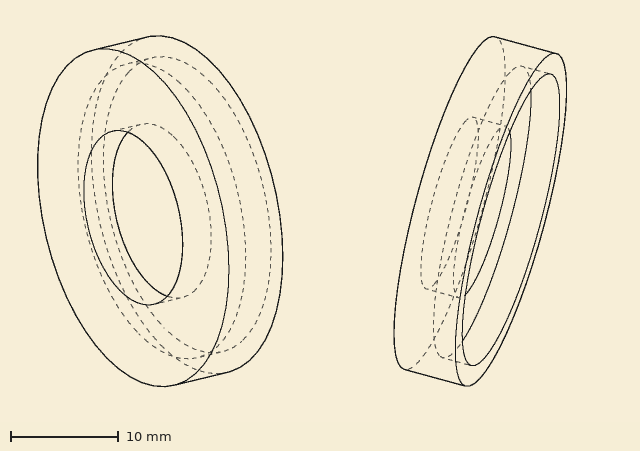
import cadquery as cq

outer_diameter = 32.0
thickness = 6.0
bore_diameter = 16.5

rim_thickness = 2.0
recess_diameter = outer_diameter - 2 * rim_thickness
web_thickness = 3.2
recess_depth = thickness - web_thickness

back_face = cq.Workplane("XZ", origin=(0, thickness / 2, 0))
ring = back_face.circle(outer_diameter / 2).circle(bore_diameter / 2).extrude(thickness)
recess = back_face.circle(recess_diameter / 2).extrude(recess_depth)

result = ring.cut(recess)